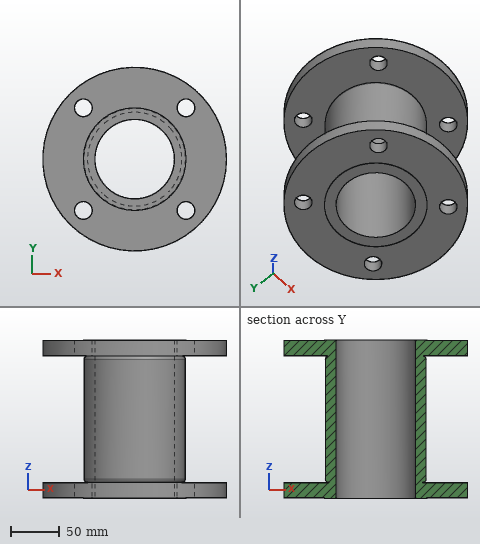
import cadquery as cq

flange_diameter = 190.0
overall_height = 164.0

flange_thickness = 16.0
raised_face_height = 0.5
raised_face_diameter = 106.0

body_diameter = 104.9
body_end_radius = 3.8
bore_diameter = 81.9

bolt_count = 4
bolt_hole_diameter = 18.0
bolt_circle_diameter = 150.0
first_bolt_angle = 45.0

end_z = overall_height / 2
flange_outer_z = end_z - raised_face_height
flange_inner_z = flange_outer_z - flange_thickness


def disc(diameter, bottom_z, top_z):
    """Solid cylinder on the Z axis between two heights."""
    return (
        cq.Workplane("XY")
        .workplane(offset=bottom_z)
        .circle(diameter / 2)
        .extrude(top_z - bottom_z)
    )


def make_body():
    """Cylinder between the flanges, rounded off where it meets them."""
    return disc(body_diameter, -flange_inner_z, flange_inner_z).edges().fillet(body_end_radius)


def make_upper_flange():
    """Flange plate carrying its raised sealing face."""
    plate = disc(flange_diameter, flange_inner_z, flange_outer_z)
    raised_face = disc(raised_face_diameter, flange_outer_z, end_z)
    return plate.union(raised_face)


def make_bolt_holes():
    """Cylinders running through both flanges, clear of the body."""
    return (
        cq.Workplane("XY")
        .workplane(offset=-end_z)
        .polarArray(bolt_circle_diameter / 2, first_bolt_angle, 360, bolt_count)
        .circle(bolt_hole_diameter / 2)
        .extrude(overall_height)
    )


upper_flange = make_upper_flange()
lower_flange = upper_flange.mirror("XY")
bore = disc(bore_diameter, -end_z, end_z)

spool = make_body().union(upper_flange).union(lower_flange)
result = spool.cut(bore).cut(make_bolt_holes())